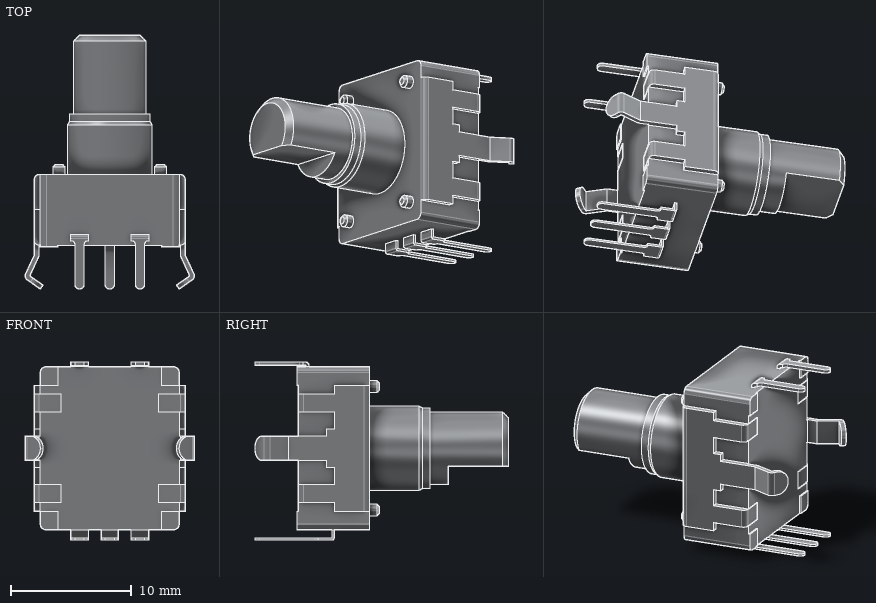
import cadquery as cq
import math


body_width = 11.5
body_height = 13.5
body_depth = 5.9
body_corner_radius = 0.5
lug_width = 1.47
lug_depth = 6.0

bracket_width = 12.5
bracket_height = 10.42
bracket_depth = 2.92
bracket_back_radius = 0.45
sheet_thickness = 0.4
clip_inner_z = 3.0
clip_outer_z = 4.5
clip_inner_x = 4.01
clip_recess = 0.05
tab_width = 2.02
tab_root_width = 3.2
tab_root_depth = 3.57
snap_width = 14.0
snap_elbow_y = -8.4
splay_angle = 25
return_angle = 35
tip_land = 0.005

bushing_radius = 3.5
bushing_length = 4.07
collar_radius = 3.34
collar_start = 4.37
collar_end = 5.0
shaft_radius = 3.0
shaft_end = 11.5
shaft_chamfer = 0.5
flat_offset = 1.5
flat_length = 5.0

peg_radius = 0.5
peg_length = 0.82
peg_chamfer = 0.2
peg_x = 4.2
peg_z = 5.1

pin_tip_y = -9.5
pin_pitch = 2.5
pin_head_width = 1.5
pin_width = 0.78
middle_head_width = 1.4
middle_pin_width = 0.8
switch_pin_z = 7.15
switch_pin_thickness = 0.3
switch_pin_y = -5.0
switch_head_length = 0.5
switch_pin_fillet = 0.3
encoder_pin_z = -7.6
encoder_pin_thickness = 0.19
encoder_pin_y = -2.92
encoder_head_length = 1.35
encoder_pin_fillet = 0.25


def block(x_range, y_range, z_range):
    """Box spanning the given (low, high) ranges."""
    spans = [high - low for low, high in (x_range, y_range, z_range)]
    corner = (x_range[0], y_range[0], z_range[0])
    return cq.Workplane("XY").box(*spans, centered=False).translate(corner)


def four_way(shape):
    """The shape with its mirror copies across x = 0 and z = 0."""
    pair = shape.union(shape.mirror("YZ"))
    return pair.union(pair.mirror("XY"))


def housing():
    outline = cq.Workplane("XZ").rect(body_width, body_height)
    body = outline.extrude(lug_depth).edges("|Y").fillet(body_corner_radius)

    front = (-lug_depth, -body_depth)
    cross_x = body_width / 2 - lug_width
    cross_z = bracket_height / 2
    body = body.cut(block((-cross_x, cross_x), front, (-body_height, body_height)))
    body = body.cut(block((-body_width, body_width), front, (-cross_z, cross_z)))

    seat = block(
        (clip_inner_x, body_width),
        (-body_depth, clip_recess - body_depth),
        (clip_inner_z, clip_outer_z),
    )
    return body.cut(four_way(seat))


def bracket():
    half_width = bracket_width / 2
    half_height = bracket_height / 2
    half_root = tab_root_width / 2
    plate = block((-half_width, half_width), (-bracket_depth, 0), (-half_height, half_height))
    plate = plate.edges("|Z and >Y").fillet(bracket_back_radius)
    tab_root = block(
        (-half_width, half_width),
        (-tab_root_depth, -bracket_depth),
        (-half_root, half_root),
    )
    clip = block(
        (clip_inner_x, half_width),
        (clip_recess - body_depth, -bracket_depth),
        (clip_inner_z, clip_outer_z),
    )
    clip = clip.edges("|Z and >X and <Y").fillet(sheet_thickness)

    half_tab = tab_width / 2
    tab_base = block(
        (-half_width, half_width),
        (-body_depth, -bracket_depth),
        (-half_tab, half_tab),
    )
    return plate.union(tab_root).union(tab_base).union(four_way(clip))


def snap_tab():
    """Bent mounting leg on the +X side, with a rounded tip."""
    splay = math.radians(splay_angle)
    back = math.radians(return_angle)
    half_tab = tab_width / 2
    inner_x = bracket_width / 2 - sheet_thickness
    elbow_x = snap_width / 2 - sheet_thickness
    bend_y = snap_elbow_y + (elbow_x - inner_x) / math.tan(splay)
    bend_shift = sheet_thickness * math.tan(splay / 2)
    tip_drop = snap_elbow_y - pin_tip_y - sheet_thickness * math.cos(back)
    return_length = tip_drop / math.sin(back)
    tip_inner = (elbow_x - return_length * math.cos(back), snap_elbow_y - tip_drop)

    splay_normal = (math.cos(splay), math.sin(splay))
    return_normal = (math.sin(back), -math.cos(back))

    def outward(point, normal):
        return tuple(p + sheet_thickness * n for p, n in zip(point, normal))

    elbow = (elbow_x, snap_elbow_y)
    leg = (
        cq.Workplane("XY", origin=(0, 0, -half_tab))
        .moveTo(inner_x, -bracket_depth)
        .lineTo(inner_x, bend_y)
        .lineTo(*elbow)
        .lineTo(*tip_inner)
        .lineTo(*outward(tip_inner, return_normal))
        .lineTo(*outward(elbow, return_normal))
        .threePointArc((snap_width / 2, snap_elbow_y), outward(elbow, splay_normal))
        .lineTo(bracket_width / 2, bend_y + bend_shift)
        .lineTo(bracket_width / 2, -bracket_depth)
        .close()
        .extrude(tab_width)
    )
    tip_direction = (-math.cos(back), -math.sin(back), 0)
    tip_edges = cq.selectors.DirectionMinMaxSelector(cq.Vector(*tip_direction))
    normal_edges = cq.selectors.ParallelDirSelector(cq.Vector(*return_normal, 0))
    return leg.edges(tip_edges).edges(normal_edges).fillet(half_tab - tip_land / 2)


def bushing_and_shaft():
    tip_radius = shaft_radius - shaft_chamfer
    profile = [
        (0, 0),
        (bushing_radius, 0),
        (bushing_radius, bushing_length),
        (collar_radius, collar_start),
        (collar_radius, collar_end),
        (shaft_radius, collar_end),
        (shaft_radius, shaft_end - shaft_chamfer),
        (tip_radius, shaft_end),
        (0, shaft_end),
    ]
    turned = cq.Workplane("XY").polyline(profile).close().revolve(360, (0, 0), (0, 1))
    flat = block(
        (-shaft_radius, shaft_radius),
        (shaft_end - flat_length, shaft_end),
        (-shaft_radius, -flat_offset),
    )
    return turned.cut(flat)


def pegs():
    base = cq.Workplane("XZ", origin=(peg_x, 0, peg_z)).circle(peg_radius)
    peg = base.extrude(-peg_length).faces(">Y").chamfer(peg_chamfer)
    return four_way(peg)


def terminal(x, back_y, outer_z, thickness, head_width, head_length, width, root_fillet):
    """Bent pin: a leg out of the housing, then a blade running to the tip."""
    half_head = head_width / 2
    half_pin = width / 2
    head_y = back_y - head_length
    blade = (
        cq.Workplane("XY")
        .moveTo(-half_head, back_y)
        .lineTo(-half_head, head_y)
        .lineTo(-half_pin - root_fillet, head_y)
        .radiusArc((-half_pin, head_y - root_fillet), root_fillet)
        .lineTo(-half_pin, pin_tip_y + half_pin)
        .threePointArc((0, pin_tip_y), (half_pin, pin_tip_y + half_pin))
        .lineTo(half_pin, head_y - root_fillet)
        .radiusArc((half_pin + root_fillet, head_y), root_fillet)
        .lineTo(half_head, head_y)
        .lineTo(half_head, back_y)
        .close()
        .extrude(-thickness)
        .translate((0, 0, abs(outer_z)))
    )
    leg = block(
        (-half_head, half_head),
        (back_y - thickness, back_y),
        (body_height / 2 - thickness, abs(outer_z)),
    )
    pin = blade.union(leg).edges("|X and >Y and >Z").fillet(thickness)
    if outer_z < 0:
        pin = pin.mirror("XY")
    return pin.translate((x, 0, 0))


def switch_terminal(x):
    return terminal(
        x, switch_pin_y, switch_pin_z, switch_pin_thickness,
        pin_head_width, switch_head_length, pin_width, switch_pin_fillet,
    )


def encoder_terminal(x, head_width, width):
    return terminal(
        x, encoder_pin_y, encoder_pin_z, encoder_pin_thickness,
        head_width, encoder_head_length, width, encoder_pin_fillet,
    )


result = housing().union(bracket()).union(bushing_and_shaft()).union(pegs())
tab = snap_tab()
result = result.union(tab).union(tab.mirror("YZ"))
for side in (-1, 1):
    result = result.union(switch_terminal(side * pin_pitch))
    result = result.union(encoder_terminal(side * pin_pitch, pin_head_width, pin_width))
result = result.union(encoder_terminal(0, middle_head_width, middle_pin_width))